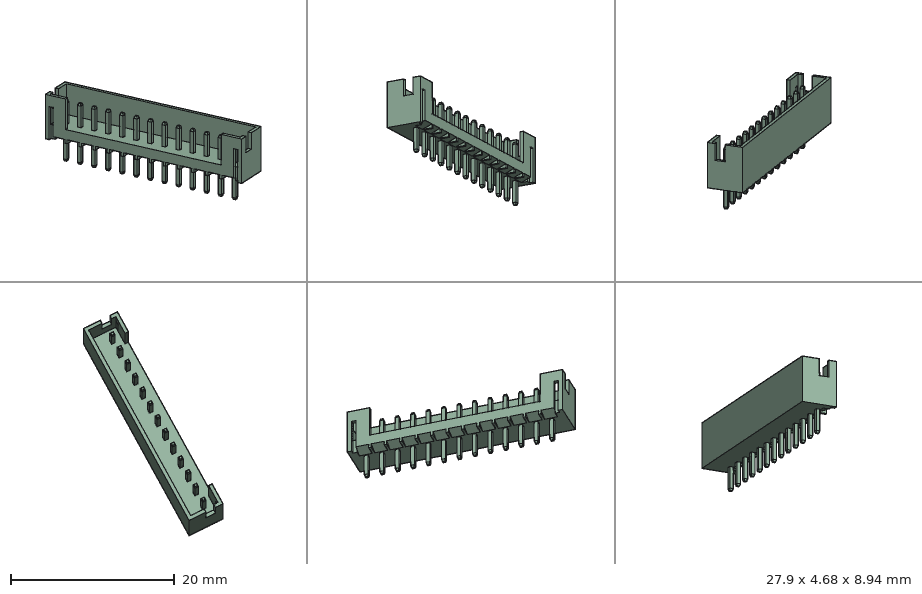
import cadquery as cq

length = 27.85
depth = 4.68
height = 5.88
wall = 0.47
floor_top = 1.85

end_panel = 2.9

notch_width = 1.3
notch_depth = 2.17

slot_offset = 0.55
slot_width = 0.55
slot_top = 4.37

bevel_height = 0.5
bevel_depth = 1.3
rib_width = 0.33

pin_count = 13
pin_row_span = 24.0
pin_pitch = pin_row_span / (pin_count - 1)
pin_y = 1.7
pin_width = 0.5
pin_tip_width = 0.3
pin_top = 4.95
pin_bottom = -3.06
pin_tip_height = 0.28

slot_inner_edge = slot_offset + slot_width


def block(x_start, x_end, y_start, y_end, z_start, z_end):
    """Axis-aligned block between the given limits."""
    size = (x_end - x_start, y_end - y_start, z_end - z_start)
    return cq.Workplane("XY").box(*size, centered=False).translate((x_start, y_start, z_start))


def make_shroud():
    """Box with an open cavity, a front window and notched end walls."""
    half = length / 2
    shroud = block(-half, half, 0, depth, 0, height)
    cavity = block(wall - half, half - wall, wall, depth - wall, floor_top, height)
    window = block(end_panel - half, half - end_panel, 0, wall, floor_top, height)
    notches = block(
        -half, half,
        pin_y - notch_width / 2, pin_y + notch_width / 2,
        height - notch_depth, height,
    )
    return shroud.cut(cavity).cut(window).cut(notches)


def make_front_slots():
    """Two mirrored slots as deep as the front wall, open at the underside."""
    left = -length / 2
    slot = block(left + slot_offset, left + slot_inner_edge, 0, wall, 0, slot_top)
    return slot.union(slot.mirror("YZ"))


def make_front_bevel():
    """Wedge along the lower front edge, without the ribs that stay between pins."""
    bevel_length = length - 2 * slot_inner_edge
    wedge = (
        cq.Workplane("YZ")
        .polyline([(0, 0), (bevel_depth, 0), (0, bevel_height)])
        .close()
        .extrude(bevel_length / 2, both=True)
    )
    for gap in range(pin_count - 1):
        rib_x = (gap + 0.5) * pin_pitch - pin_row_span / 2
        rib = block(
            rib_x - rib_width / 2, rib_x + rib_width / 2,
            0, bevel_depth, 0, bevel_height,
        )
        wedge = wedge.cut(rib)
    return wedge


def make_pin_tip():
    """Short square frustum that narrows upwards from Z = 0."""
    return (
        cq.Workplane("XY")
        .rect(pin_width, pin_width)
        .workplane(offset=pin_tip_height)
        .rect(pin_tip_width, pin_tip_width)
        .loft(ruled=True)
    )


def make_pin():
    """Square pin with a tapered tip at both ends."""
    half = pin_width / 2
    shank_bottom = pin_bottom + pin_tip_height
    shank_top = pin_top - pin_tip_height
    shank = block(-half, half, -half, half, shank_bottom, shank_top)
    upper_tip = make_pin_tip().translate((0, 0, shank_top))
    lower_tip = make_pin_tip().mirror("XY").translate((0, 0, shank_bottom))
    return shank.union(upper_tip).union(lower_tip)


result = make_shroud().cut(make_front_slots()).cut(make_front_bevel())
pin = make_pin()
for index in range(pin_count):
    pin_x = index * pin_pitch - pin_row_span / 2
    result = result.union(pin.translate((pin_x, pin_y, 0)))